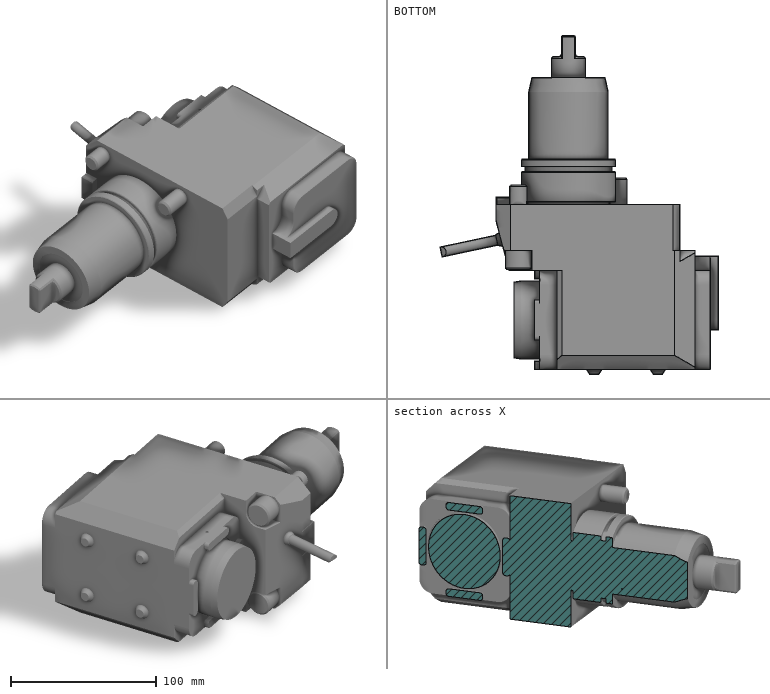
import cadquery as cq
import math


overall_height = 90.0
half_height = overall_height / 2
flange_left = -50.0
flange_right = 76.9
flange_depth = 31.8
left_corner_chamfer = 10.0
right_chamfer_x = 4.7
right_chamfer_z = 7.5
side_taper_y = 11.5
block_back = 45.8
block_back_left = -40.9
block_right = 11.7

bolt_x = 34.5
bolt_z = 35.5
bolt_diameter = 12.0
bolt_head_diameter = 18.0
bolt_head_back = 45.0
corner_bolt_length = 13.3
side_bolt_length = 18.2
bolt_chamfer = 1.2
head_chamfer = 1.2
pocket_wall_gap = 0.35

key_width = 9.8
key_height = 20.3
key_projection = 5.0
key_chamfer = 0.7

neck_diameter = 56.3
neck_end = -1.5
collar_diameter = 65.0
groove_diameter = 60.3
groove_start = -22.5
groove_end = -26.0
collar_end = -31.0
collar_chamfer = 0.5
body_diameter = 55.0
nose_taper_y = -77.3
body_end = -87.4
nose_diameter = 50.5
nose_recess_diameter = 38.8
nose_recess_depth = 0.5
shaft_diameter = 23.5
shaft_overlap = 2.3
shoulder_y = -101.8
tang_end = -116.3
tang_width = 9.8
tang_chamfer = 1.0
tang_fillet = 1.9
shoulder_chamfer = 1.2

housing_left = -8.0
housing_right = 87.4
housing_back = 114.0
housing_chamfer = 9.8
left_edge_chamfer_x = 3.5
left_edge_chamfer_z = 3.0
right_edge_chamfer_x = 14.2
right_edge_chamfer_z = 8.2

cover_height = 68.5
cover_half_height = cover_height / 2
cover_front = 45.5
cover_corner_radius = 9.8
left_cover_face = -19.9
right_cover_face = 98.0
output_y = (cover_front + housing_back) / 2
lug_length = 27.8
lug_width = 5.8
lug_thickness = 3.5
lug_corner_radius = 2.3
disc_diameter = 54.0
disc_recess_diameter = 56.0
disc_recess_depth = 1.2
disc_edge_x = -32.5
disc_face_x = -37.5
disc_face_diameter = 52.3
cover_hole_x = -14.0
cover_hole_diameter = 2.0
cover_hole_depth = 3.5
cover_edge_chamfer = 0.5
bar_width = 13.8
bar_face = 103.5
bar_back = 86.7
bar_end_radius = 6.8

screw_spacing = 44.0
screw_diameter = 10.5
screw_top_diameter = 6.3
screw_head_height = 3.3

cable_diameter = 7.0
cable_angle = 12.0
cable_tip = (-87.8, 33.0, 10.3)
cable_length = 44.5
cable_bevel = 3.5
cable_bush_length = 5.1
cable_bush_diameter = 12.0
cable_bush_end_diameter = 7.5
cable_free_length = 39.2


def box(x_min, x_max, y_min, y_max, z_min, z_max):
    """Axis-aligned box between the given limits."""
    size = (x_max - x_min, y_max - y_min, z_max - z_min)
    return cq.Workplane("XY").box(*size, centered=False).translate((x_min, y_min, z_min))


def y_cylinder(x, z, y_start, y_end, diameter):
    """Cylinder along Y."""
    plane = cq.Plane((x, y_start, z), xDir=(1, 0, 0), normal=(0, 1, 0))
    return cq.Workplane(plane).circle(diameter / 2).extrude(y_end - y_start)


def prism_along_y(points, y_start, y_end):
    """Outline given as (x, z) points, extruded along Y."""
    plane = cq.Plane((0, y_start, 0), xDir=(1, 0, 0), normal=(0, -1, 0))
    return cq.Workplane(plane).polyline(points).close().extrude(y_start - y_end)


def x_plane(x):
    """Work plane across X, with local axes Y and Z."""
    return cq.Workplane("YZ", origin=(x, 0, 0))


def make_flange():
    h = half_height
    left_z = h - left_corner_chamfer
    left_x = flange_left + left_corner_chamfer
    right_z = h - right_chamfer_z
    right_x = flange_right - right_chamfer_x
    outline = [(left_x, h), (right_x, h), (flange_right, right_z), (flange_right, -right_z),
               (right_x, -h), (left_x, -h), (flange_left, -left_z), (flange_left, left_z)]
    plate = prism_along_y(outline, 0, flange_depth)
    block_outline = [(left_x, h), (block_right, h), (block_right, -h), (left_x, -h),
                     (flange_left, -left_z), (flange_left, left_z)]
    block = prism_along_y(block_outline, flange_depth, block_back)
    side_profile = (
        cq.Workplane("XY", origin=(0, 0, -h))
        .polyline([(flange_left, 0), (flange_right, 0), (flange_right, block_back),
                   (block_back_left, block_back), (flange_left, side_taper_y)])
        .close().extrude(2 * h)
    )
    flange = plate.union(block).intersect(side_profile)
    pocket_radius = bolt_head_diameter / 2 + pocket_wall_gap
    for side in (1, -1):
        pocket = (
            box(flange_left, -bolt_x + pocket_radius, flange_depth, block_back, bolt_z - pocket_radius, h)
            .edges("|Y and >X and <Z").fillet(pocket_radius)
        )
        flange = flange.cut(pocket if side > 0 else pocket.mirror("XY"))
    return flange


def make_key_slot():
    return box(flange_left, flange_left + key_width, 0, side_taper_y, -key_height / 2, key_height / 2)


def make_key():
    key = box(flange_left, flange_left + key_width, -key_projection, side_taper_y,
              -key_height / 2, key_height / 2)
    return key.edges("(<X and |Y) or (<Y and |X)").chamfer(key_chamfer)


def make_bolt(x, z, length):
    bolt = y_cylinder(x, z, -length, flange_depth, bolt_diameter)
    return bolt.faces("<Y").chamfer(bolt_chamfer)


def make_bolt_head(x, z):
    head = y_cylinder(x, z, flange_depth, bolt_head_back, bolt_head_diameter)
    return head.faces(">Y").chamfer(head_chamfer)


def make_spindle():
    neck = neck_diameter / 2
    collar = collar_diameter / 2
    groove = groove_diameter / 2
    body = body_diameter / 2
    recess = nose_recess_diameter / 2
    recess_y = body_end + nose_recess_depth
    c = collar_chamfer
    profile = [(0, 0), (neck, 0), (neck, neck_end),
               (collar - c, neck_end), (collar, neck_end - c),
               (collar, groove_start + c), (collar - c, groove_start),
               (groove, groove_start), (groove, groove_end),
               (collar, groove_end), (collar, collar_end + c), (collar - c, collar_end),
               (body, collar_end), (body, nose_taper_y),
               (nose_diameter / 2, body_end), (recess, body_end), (recess, recess_y), (0, recess_y)]
    return cq.Workplane("XY").polyline(profile).close().revolve(360, (0, 0, 0), (0, 1, 0))


def make_drive_shaft():
    r = shaft_diameter / 2
    half_tang = tang_width / 2
    inside_spindle = body_end + shaft_overlap
    shaft = y_cylinder(0, 0, shoulder_y, inside_spindle, shaft_diameter).faces("<Y").chamfer(shoulder_chamfer)
    tang_slab = box(-half_tang, half_tang, tang_end, inside_spindle, -r, r)
    tang = (
        y_cylinder(0, 0, tang_end, inside_spindle, shaft_diameter).intersect(tang_slab)
        .edges("|Y or <Y").chamfer(tang_chamfer)
    )
    fillet_edge = half_tang + tang_fillet
    root = box(-fillet_edge, fillet_edge, shoulder_y - tang_fillet, shoulder_y, -r, r)
    for side in (1, -1):
        root = root.cut(
            cq.Workplane("XY", origin=(side * fillet_edge, shoulder_y - tang_fillet, -r))
            .circle(tang_fillet).extrude(2 * r)
        )
    root_limit = y_cylinder(0, 0, tang_end, shoulder_y, shaft_diameter - 2 * shoulder_chamfer)
    return shaft.union(tang).union(root.intersect(root_limit))


def make_housing():
    h = half_height
    left_z = h - left_edge_chamfer_z
    left_x = housing_left + left_edge_chamfer_x
    right_z = h - right_edge_chamfer_z
    right_x = housing_right - right_edge_chamfer_x
    outline = [(left_x, h), (right_x, h), (housing_right, right_z), (housing_right, -right_z),
               (right_x, -h), (left_x, -h), (housing_left, -left_z), (housing_left, left_z)]
    housing = prism_along_y(outline, flange_depth, housing_back)
    c = housing_chamfer
    back_bevel = [(housing_back, h), (housing_back - c, h), (housing_back, h - c)]
    front_bevel = [(flange_depth, h), (flange_depth + c, h), (flange_depth, h - c)]
    for start_x, bevel in ((housing_left, back_bevel), (flange_right, front_bevel)):
        wedge = x_plane(start_x).polyline(bevel).close().extrude(housing_right - start_x)
        housing = housing.cut(wedge).cut(wedge.mirror("XY"))
    return housing


def make_cover(x_min, x_max):
    cover = box(x_min, x_max, cover_front, housing_back, -cover_half_height, cover_half_height)
    return cover.edges("|X").fillet(cover_corner_radius)


def make_left_cover():
    cover = make_cover(left_cover_face, housing_left)
    lug_offset = cover_half_height - lug_width / 2
    for quarter in range(4):
        lug = (
            x_plane(left_cover_face).center(0, lug_offset).rect(lug_length, lug_width)
            .extrude(-lug_thickness).edges("|X").fillet(lug_corner_radius)
            .rotate((0, 0, 0), (1, 0, 0), 90 * quarter).translate((0, output_y, 0))
        )
        cover = cover.union(lug)
    disc_base_x = left_cover_face + disc_recess_depth
    disc = (
        cq.Workplane("XY")
        .polyline([(disc_base_x, 0), (disc_base_x, disc_diameter / 2), (disc_edge_x, disc_diameter / 2),
                   (disc_face_x, disc_face_diameter / 2), (disc_face_x, 0)])
        .close().revolve(360, (0, 0, 0), (1, 0, 0)).translate((0, output_y, 0))
    )
    hole = (
        cq.Workplane("XY", origin=(cover_hole_x, output_y, cover_half_height))
        .circle(cover_hole_diameter / 2).extrude(-cover_hole_depth)
    )
    recess = (
        x_plane(left_cover_face).center(output_y, 0)
        .circle(disc_recess_diameter / 2).extrude(disc_recess_depth)
    )
    return cover.cut(recess).union(disc).cut(hole)


def make_right_cover():
    """Cover with a neck, blended by concave fillets, under the front end of the bar."""
    thickness = right_cover_face - housing_right
    fillet = cover_corner_radius
    neck_front = cover_front - fillet
    fillet_z = bar_width / 2 + fillet
    neck = box(housing_right, right_cover_face, neck_front, cover_front, -fillet_z, fillet_z)
    for z in (fillet_z, -fillet_z):
        neck = neck.cut(x_plane(housing_right).center(neck_front, z).circle(fillet).extrude(thickness))
    cover = make_cover(housing_right, right_cover_face).union(neck)
    cover = cover.faces(">X").chamfer(cover_edge_chamfer)
    bar = (
        box(housing_right, bar_face, neck_front, bar_back, -bar_width / 2, bar_width / 2)
        .edges("|X and >Y").fillet(bar_end_radius)
    )
    return cover.union(bar)


def make_back_screw(x, z):
    plane = cq.Plane((x, housing_back, z), xDir=(1, 0, 0), normal=(0, 1, 0))
    return (
        cq.Workplane(plane).circle(screw_diameter / 2)
        .workplane(offset=screw_head_height).circle(screw_top_diameter / 2).loft()
    )


def make_cable():
    """Straight cable, bevelled below its tip, with a bush widening into the tapered flange side."""
    r = cable_diameter / 2
    angle = math.radians(cable_angle)
    direction = (-math.cos(angle), math.sin(angle), 0)
    tip_plane = cq.Plane(cable_tip, xDir=(0, 0, 1), normal=direction)
    cable = cq.Workplane(tip_plane).circle(r).extrude(-cable_length)
    bevel_plane = cq.Plane(cable_tip, xDir=direction, normal=(math.sin(angle), math.cos(angle), 0))
    bevel = (
        cq.Workplane(bevel_plane).polyline([(0, 0), (0, -r), (-cable_bevel, -r)]).close()
        .extrude(r, both=True)
    )
    bush = (
        cq.Workplane(tip_plane).workplane(offset=-cable_free_length).circle(cable_bush_end_diameter / 2)
        .workplane(offset=-cable_bush_length).circle(cable_bush_diameter / 2).loft()
    )
    return cable.cut(bevel).union(bush)


result = make_flange().union(make_housing()).cut(make_key_slot()).union(make_key())
result = result.union(make_spindle()).union(make_drive_shaft())
for x, z, length in ((-bolt_x, bolt_z, corner_bolt_length),
                     (-bolt_x, -bolt_z, corner_bolt_length),
                     (bolt_x, bolt_z, side_bolt_length)):
    result = result.union(make_bolt(x, z, length))
for z in (bolt_z, -bolt_z):
    result = result.union(make_bolt_head(-bolt_x, z))
result = result.union(make_left_cover()).union(make_right_cover())
housing_middle = (housing_left + housing_right) / 2
for side_x in (-1, 1):
    for side_z in (-1, 1):
        screw = make_back_screw(housing_middle + side_x * screw_spacing / 2, side_z * screw_spacing / 2)
        result = result.union(screw)
result = result.union(make_cable())